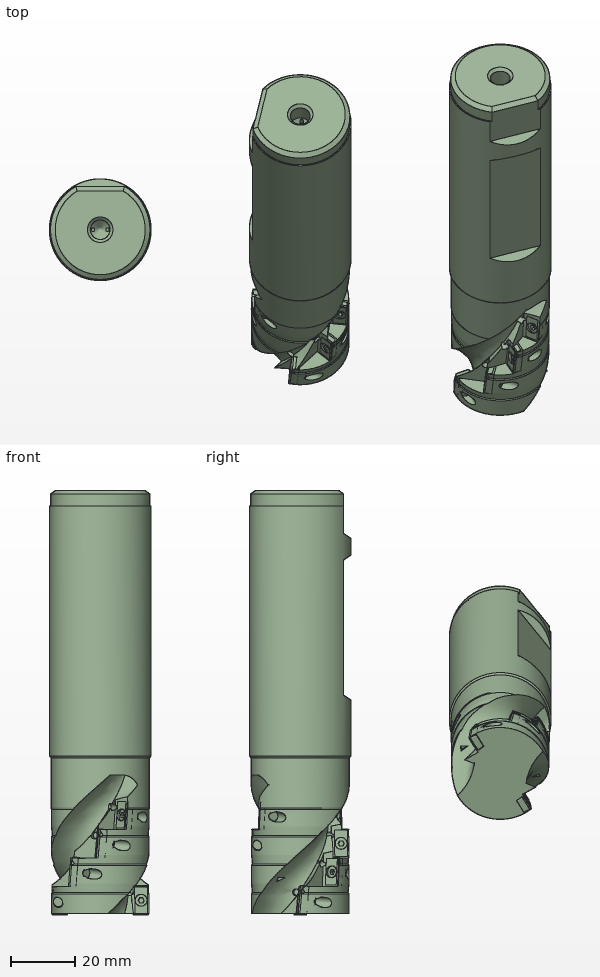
import cadquery as cq
import math

TOTAL_LENGTH = 132.2
SHANK_RADIUS = 15.9
SHANK_BOTTOM = 49.6
CUTTER_NECK_TOP = 48.9
END_COLLAR_RADIUS = 15.5
END_COLLAR_HEIGHT = 4.9
END_CHAMFER_WIDTH = 1.5
END_CHAMFER_HEIGHT = 1.0

FLAT_Y = 13.5
RAMP_LENGTH = 1.6
UPPER_FLAT_BOTTOM = 118.9
LOWER_FLAT_TOP = 110.5
LOWER_FLAT_BOTTOM = 68.5

CENTRE_HOLE_RADIUS = 3.0
CENTRE_HOLE_DEPTH = 6.6
CENTRE_CHAMFER = 0.9
DUCT_X = 2.2
DUCT_RADIUS = 0.5
DUCT_DEPTH = 6.6

HEAD_RADIUS = 15.3
LAND_RADIUS = 15.2
RELIEF_RADIUS = 15.0
BODY_BOTTOM = 0.4
LAND_TOP = 32.9
STEP_START = 6.6
STEP_HEIGHT = 0.4
RELIEF_HEIGHT = 3.2

ROW_COUNT = 2
ROW_ANGLE = 360.0 / ROW_COUNT
TOOTH_ANGLES = (187.0, 239.0, 275.0, 310.0)
TOOTH_PITCH = 8.9
AXIAL_RAKE = 5.0

INSERT_HEIGHT = 9.3
INSERT_THICKNESS = 2.6
INSERT_INNER = 10.0
INSERT_OUTER = 15.1
INSERT_WIDTH = INSERT_OUTER - INSERT_INNER
INSERT_MIDDLE = (INSERT_OUTER + INSERT_INNER) / 2
INSERT_CLEARANCE = 5.0
INSERT_CORNER_RADIUS = 0.7
INSERT_EDGE_CHAMFER = 0.5
RAKE_OFFSET = -2.1

SCREW_RADIUS = 1.6
SCREW_LENGTH = 5.3
SCREW_HOLE_LENGTH = 13.2
SCREW_LEAN = 10.0
HEAD_RECESS_RADIUS = 1.9
HEAD_RECESS_DEPTH = 0.4
SOCKET_WIDTH = 1.9
SOCKET_DEPTH = 1.6

RAKE_RADIANS = math.radians(AXIAL_RAKE)
FIRST_TOOTH_Z = (INSERT_HEIGHT / 2 * math.cos(RAKE_RADIANS)
                 + RAKE_OFFSET * math.sin(RAKE_RADIANS))

FLUTE_TWIST = 4.234
FLUTE_TOP = 43.6
FLUTE_WALL_ANGLE = 148.0
FLUTE_SPAN = 51.0
FLUTE_ROOT_RADIUS = 8.7
FLUTE_MIDDLE_RADIUS = 9.0
FLUTE_CLEAR_RADIUS = 18.5
FLUTE_END_X = 12.0
FLUTE_END_RADIUS = 5.3
POCKET_DEPTH = 9.5
POCKET_TOP_DEPTH = 6.6
POCKET_HEADROOM = 2.0
POCKET_FLOOR = 9.5

COOLANT_RADIUS = 1.0
COOLANT_LEAD = 16.0
COOLANT_RISE = 2.6
COOLANT_INNER = 6.0
COOLANT_OUTER = 10.8


def polar(radius, angle):
    radians = math.radians(angle)
    return (radius * math.cos(radians), radius * math.sin(radians))


def tooth_positions():
    """Angle and middle height of every insert."""
    return [(angle + row * ROW_ANGLE, FIRST_TOOTH_Z + level * TOOTH_PITCH)
            for row in range(ROW_COUNT)
            for level, angle in enumerate(TOOTH_ANGLES)]


def place_on_tooth(shape, angle, height):
    """Move a shape from the tooth frame (X radial, Y trailing, Z up) to its tooth."""
    tilted = shape.rotate((0, 0, 0), (1, 0, 0), -AXIAL_RAKE)
    return tilted.rotate((0, 0, 0), (0, 0, 1), angle).translate((0, 0, height))


def rake_plane():
    """Plane of the rake face, with its normal pointing into the insert."""
    return cq.Plane(origin=(INSERT_MIDDLE, RAKE_OFFSET, 0), xDir=(-1, 0, 0), normal=(0, 1, 0))


def insert_blank():
    """Insert without its screw hole; the sides taper towards the seat."""
    blank = (cq.Workplane(rake_plane())
             .sketch().rect(INSERT_WIDTH, INSERT_HEIGHT)
             .vertices().fillet(INSERT_CORNER_RADIUS).finalize()
             .extrude(INSERT_THICKNESS, taper=INSERT_CLEARANCE))
    inner_edge = cq.selectors.NearestToPointSelector((INSERT_INNER, RAKE_OFFSET, 0))
    return blank.edges(inner_edge).chamfer(INSERT_EDGE_CHAMFER)


def on_screw_axis(shape):
    """Stand a shape built along +Z on the rake face, along the leaning screw axis."""
    return (shape.rotate((0, 0, 0), (1, 0, 0), -90)
            .rotate((0, 0, 0), (0, 0, 1), -SCREW_LEAN)
            .translate((INSERT_MIDDLE, RAKE_OFFSET, 0)))


def screw_cylinder(length):
    """Cylinder along the screw axis, from the middle of the insert."""
    start = INSERT_THICKNESS / 2
    cylinder = cq.Workplane("XY").workplane(offset=start).circle(SCREW_RADIUS).extrude(length - start)
    return on_screw_axis(cylinder)


def screw_head_recess():
    """Shallow round recess over the screw head, with its hexagon socket."""
    recess = cq.Workplane("XY").circle(HEAD_RECESS_RADIUS).extrude(HEAD_RECESS_DEPTH, both=True)
    socket = cq.Workplane("XY").polygon(6, SOCKET_WIDTH).extrude(SOCKET_DEPTH)
    return on_screw_axis(recess.union(socket))


def make_insert():
    """Insert and its clamp screw, in the tooth frame."""
    return insert_blank().union(screw_cylinder(SCREW_LENGTH)).cut(screw_head_recess())


def make_blank_body():
    """Turned body with the stepped lands of the cutting head."""
    collar_bottom = TOTAL_LENGTH - END_COLLAR_HEIGHT
    outline = [(0, BODY_BOTTOM), (LAND_RADIUS, BODY_BOTTOM)]
    for level in range(len(TOOTH_ANGLES) - 1):
        step = STEP_START + level * TOOTH_PITCH
        outline += [(LAND_RADIUS, step),
                    (RELIEF_RADIUS, step + STEP_HEIGHT),
                    (LAND_RADIUS, step + RELIEF_HEIGHT)]
    outline += [(LAND_RADIUS, LAND_TOP),
                (HEAD_RADIUS, LAND_TOP + STEP_HEIGHT),
                (HEAD_RADIUS, CUTTER_NECK_TOP),
                (SHANK_RADIUS, SHANK_BOTTOM),
                (SHANK_RADIUS, collar_bottom),
                (END_COLLAR_RADIUS, collar_bottom),
                (END_COLLAR_RADIUS, TOTAL_LENGTH - END_CHAMFER_HEIGHT),
                (END_COLLAR_RADIUS - END_CHAMFER_WIDTH, TOTAL_LENGTH),
                (0, TOTAL_LENGTH)]
    return cq.Workplane("XZ").polyline(outline).close().revolve(360, (0, 0), (0, 1))


def clamping_flats():
    """Two flats with sloping ends; the upper one runs out through the shank end."""
    upper = [(FLAT_Y, UPPER_FLAT_BOTTOM), (FLAT_Y, TOTAL_LENGTH - END_CHAMFER_HEIGHT),
             (FLAT_Y - END_CHAMFER_WIDTH, TOTAL_LENGTH), (SHANK_RADIUS, TOTAL_LENGTH),
             (SHANK_RADIUS, UPPER_FLAT_BOTTOM - RAMP_LENGTH)]
    lower = [(FLAT_Y, LOWER_FLAT_BOTTOM), (FLAT_Y, LOWER_FLAT_TOP),
             (SHANK_RADIUS, LOWER_FLAT_TOP + RAMP_LENGTH),
             (SHANK_RADIUS, LOWER_FLAT_BOTTOM - RAMP_LENGTH)]
    upper_cut = cq.Workplane("YZ").polyline(upper).close().extrude(SHANK_RADIUS, both=True)
    lower_cut = cq.Workplane("YZ").polyline(lower).close().extrude(SHANK_RADIUS, both=True)
    return upper_cut.union(lower_cut)


def centre_hole():
    """Countersunk centre hole with a conical end."""
    bottom = TOTAL_LENGTH - CENTRE_HOLE_DEPTH
    outline = [(0, TOTAL_LENGTH), (CENTRE_HOLE_RADIUS + CENTRE_CHAMFER, TOTAL_LENGTH),
               (CENTRE_HOLE_RADIUS, TOTAL_LENGTH - CENTRE_CHAMFER),
               (CENTRE_HOLE_RADIUS, bottom),
               (0, bottom - CENTRE_HOLE_RADIUS)]
    return cq.Workplane("XZ").polyline(outline).close().revolve(360, (0, 0), (0, 1))


def flute():
    """Helical chip flute of the first row, with a rounded upper end."""
    leading_angle = FLUTE_WALL_ANGLE - FLUTE_SPAN
    middle_angle = FLUTE_WALL_ANGLE - FLUTE_SPAN / 2
    helix = (cq.Workplane("XY")
             .moveTo(*polar(FLUTE_CLEAR_RADIUS, FLUTE_WALL_ANGLE))
             .lineTo(*polar(FLUTE_ROOT_RADIUS, FLUTE_WALL_ANGLE))
             .threePointArc(polar(FLUTE_MIDDLE_RADIUS, middle_angle),
                            polar(HEAD_RADIUS, leading_angle))
             .lineTo(*polar(FLUTE_CLEAR_RADIUS, leading_angle))
             .close()
             .twistExtrude(FLUTE_TOP, FLUTE_TWIST * FLUTE_TOP))
    half_size = 2 * FLUTE_CLEAR_RADIUS
    end_limit = (cq.Workplane("XY")
                 .box(half_size + FLUTE_END_X, 2 * half_size, FLUTE_TOP, centered=(False, True, False))
                 .translate((-half_size, 0, 0))
                 .edges(">X and >Z").fillet(FLUTE_END_RADIUS))
    return helix.intersect(end_limit)


def chip_pocket():
    """Clearance ahead of an insert, deepest at its lower end, in the tooth frame.

    The floor slopes in this frame, so that it is level once the tooth is tilted.
    """
    bottom = -INSERT_HEIGHT / 2
    top = INSERT_HEIGHT / 2 + POCKET_HEADROOM
    floor_drop = POCKET_DEPTH * math.tan(RAKE_RADIANS)
    outline = [(RAKE_OFFSET, bottom), (RAKE_OFFSET - POCKET_DEPTH, bottom - floor_drop),
               (RAKE_OFFSET - POCKET_TOP_DEPTH, top), (RAKE_OFFSET, top)]
    return (cq.Workplane("YZ").workplane(offset=POCKET_FLOOR)
            .polyline(outline).close().extrude(FLUTE_CLEAR_RADIUS - POCKET_FLOOR))


def coolant_outlet(angle, height):
    """Radial hole that opens in the flute ahead of an insert."""
    return (cq.Workplane("YZ")
            .circle(COOLANT_RADIUS).extrude(COOLANT_OUTER - COOLANT_INNER)
            .translate((COOLANT_INNER, 0, height + COOLANT_RISE))
            .rotate((0, 0, 0), (0, 0, 1), angle - COOLANT_LEAD))


def coolant_ducts():
    """Two small ducts that start in the conical end of the centre hole."""
    start = TOTAL_LENGTH - CENTRE_HOLE_DEPTH
    return (cq.Workplane("XY").workplane(offset=start)
            .pushPoints([(-DUCT_X, 0), (DUCT_X, 0)])
            .circle(DUCT_RADIUS).extrude(-DUCT_DEPTH))


def make_body():
    body = make_blank_body().cut(clamping_flats()).cut(centre_hole()).cut(coolant_ducts())
    row_flute = flute()
    for row in range(ROW_COUNT):
        body = body.cut(row_flute.rotate((0, 0, 0), (0, 0, 1), row * ROW_ANGLE))
    tooth_cutters = (chip_pocket(), insert_blank(), screw_cylinder(SCREW_HOLE_LENGTH))
    for angle, height in tooth_positions():
        for cutter in tooth_cutters:
            body = body.cut(place_on_tooth(cutter, angle, height))
        body = body.cut(coolant_outlet(angle, height))
    return body


body = make_body()
insert = make_insert()
inserts = [place_on_tooth(insert, angle, height) for angle, height in tooth_positions()]

result = cq.Compound.makeCompound([body.val(), *[placed.val() for placed in inserts]])